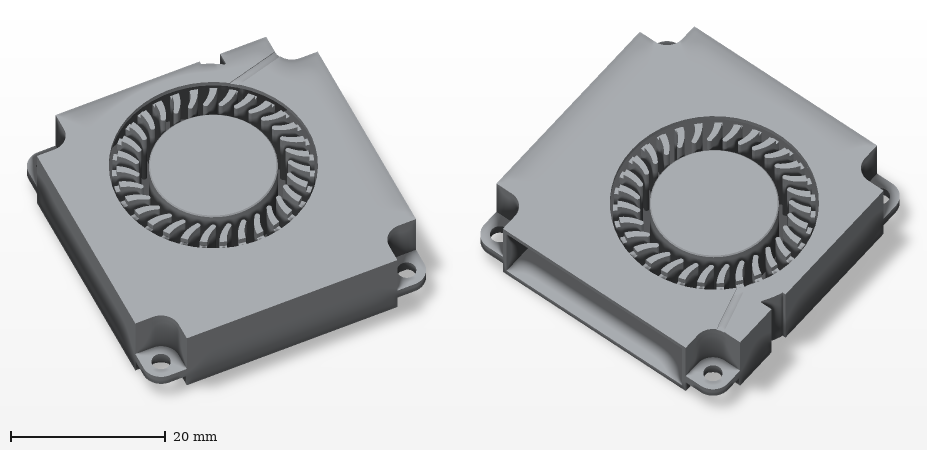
import cadquery as cq
import math

side = 40.0
height = 10.0
floor_thickness = 0.8
lid_thickness = 0.7

corner_size = 5.0
corner_radius = corner_size / 2
tab_hole_diameter = 2.5
tab_bottom = 2.0
tab_top = 3.5

fan_center = (-4.0, 0.0)
inlet_diameter = 27.0
disc_diameter = 26.2
disc_thickness = 0.8
hub_diameter = 16.7
hub_chamfer = 0.15

blade_count = 31
first_blade_angle = 180.0
blade_step_diameter = 25.0
blade_step_depth = 0.9
blade_trailing_edge = [(13.4, -0.95), (11.45, -0.65), (9.8, 0.35)]
blade_tip = (9.65, 0.85)
blade_leading_edge = [(10.05, 1.0), (11.45, 0.3), (13.4, 0.1)]

outlet_half_width = 14.4
tongue_radius = 13.8
throat_radius = 23.45
spiral_points = 40

groove_width = 1.05
groove_depth = 0.1
groove_start = (-16.9, 15.4)
groove_angle = -74.0
groove_length = 9.2
notch_top = 8.45
notch_bottom = 5.5
notch_depth = 1.8
notch_lip = 0.5
notch_flat = 0.2
notch_bulge = 0.1

half = side / 2
fan_x, fan_y = fan_center
outlet_overrun = 0.4


def disc(diameter, bottom, top):
    """Cylinder on the fan axis between two heights."""
    return cq.Workplane("XY", origin=(fan_x, fan_y, bottom)).circle(diameter / 2).extrude(top - bottom)


def corner_reliefs():
    """Full-height cutters centred on the four corners, with rounded vertical edges."""
    width = 2 * corner_size
    cutters = cq.Workplane("XY").rarray(side, side, 2, 2).rect(width, width).extrude(height)
    return cutters.edges("|Z").fillet(corner_radius)


def housing_body():
    """Square box with its corners relieved above and below thin mounting tabs."""
    box = cq.Workplane("XY").rect(side, side).extrude(height)
    tab_plate = cq.Workplane("XY", origin=(0, 0, tab_bottom)).rect(side, side).extrude(tab_top - tab_bottom)
    tab_plate = tab_plate.edges("|Z").fillet(corner_radius)
    hole_pitch = side - 2 * corner_radius
    holes = (
        cq.Workplane("XY")
        .rarray(hole_pitch, hole_pitch, 2, 2)
        .circle(tab_hole_diameter / 2)
        .extrude(height)
    )
    return box.cut(corner_reliefs()).union(tab_plate).cut(holes)


def scroll_chamber():
    """Air chamber around the impeller, opening through the +Y side."""
    tongue_dx = -outlet_half_width - fan_x
    throat_dx = outlet_half_width - fan_x
    start_angle = math.acos(tongue_dx / tongue_radius)
    end_angle = 2 * math.pi + math.acos(throat_dx / throat_radius)

    def spiral(t):
        angle = start_angle + t * (end_angle - start_angle)
        radius = tongue_radius + t * (throat_radius - tongue_radius)
        return (fan_x + radius * math.cos(angle), fan_y + radius * math.sin(angle))

    tongue = spiral(0)
    return (
        cq.Workplane("XY", origin=(0, 0, floor_thickness))
        .parametricCurve(spiral, N=spiral_points, makeWire=False)
        .lineTo(outlet_half_width, half + outlet_overrun)
        .lineTo(-outlet_half_width, half + outlet_overrun)
        .lineTo(*tongue)
        .close()
        .extrude(height - lid_thickness - floor_thickness)
    )


def side_notch():
    """Notch for the lead wires with one gently bulging wall, over the full height of the -X side."""
    inner_x = -half + notch_depth
    outer_x = -half + notch_lip
    middle = ((inner_x + outer_x) / 2 - notch_bulge, (notch_top + notch_bottom) / 2)
    return (
        cq.Workplane("XY")
        .moveTo(-half, notch_top)
        .lineTo(inner_x, notch_top)
        .lineTo(inner_x, notch_top - notch_flat)
        .threePointArc(middle, (outer_x, notch_bottom + notch_flat))
        .lineTo(outer_x, notch_bottom)
        .lineTo(-half, notch_bottom)
        .close()
        .extrude(height)
    )


def wire_groove():
    """Shallow groove in the lid from the corner relief to the inlet."""
    return (
        cq.Workplane("XY", origin=(*groove_start, height - groove_depth))
        .transformed(rotate=(0, 0, groove_angle))
        .center(groove_length / 2, 0)
        .rect(groove_length, groove_width)
        .extrude(groove_depth)
    )


def blades():
    """Ring of curved blades, each with its outer end stepped down below the lid."""
    bottom = floor_thickness
    blade = (
        cq.Workplane("XY", origin=(0, 0, bottom))
        .moveTo(*blade_trailing_edge[0])
        .threePointArc(*blade_trailing_edge[1:])
        .threePointArc(blade_tip, blade_leading_edge[0])
        .threePointArc(*blade_leading_edge[1:])
        .close()
        .extrude(height - bottom)
    )
    ring = cq.Workplane("XY")
    for i in range(blade_count):
        ring = ring.add(blade.rotate((0, 0, 0), (0, 0, 1), first_blade_angle + i * 360 / blade_count))
    step_bottom = height - blade_step_depth
    step = disc(inlet_diameter, step_bottom, height).cut(disc(blade_step_diameter, step_bottom, height))
    ring = ring.combine().translate((fan_x, fan_y, 0))
    return ring.intersect(disc(disc_diameter, bottom, height)).cut(step)


def impeller():
    """Base disc, chamfered hub and blades, standing on the housing floor."""
    base = disc(disc_diameter, floor_thickness, floor_thickness + disc_thickness)
    hub = disc(hub_diameter, floor_thickness, height).faces(">Z").chamfer(hub_chamfer)
    return base.union(hub).union(blades())


inlet = disc(inlet_diameter, height - lid_thickness, height)
housing = housing_body().cut(scroll_chamber()).cut(inlet).cut(side_notch()).cut(wire_groove())
result = housing.union(impeller())